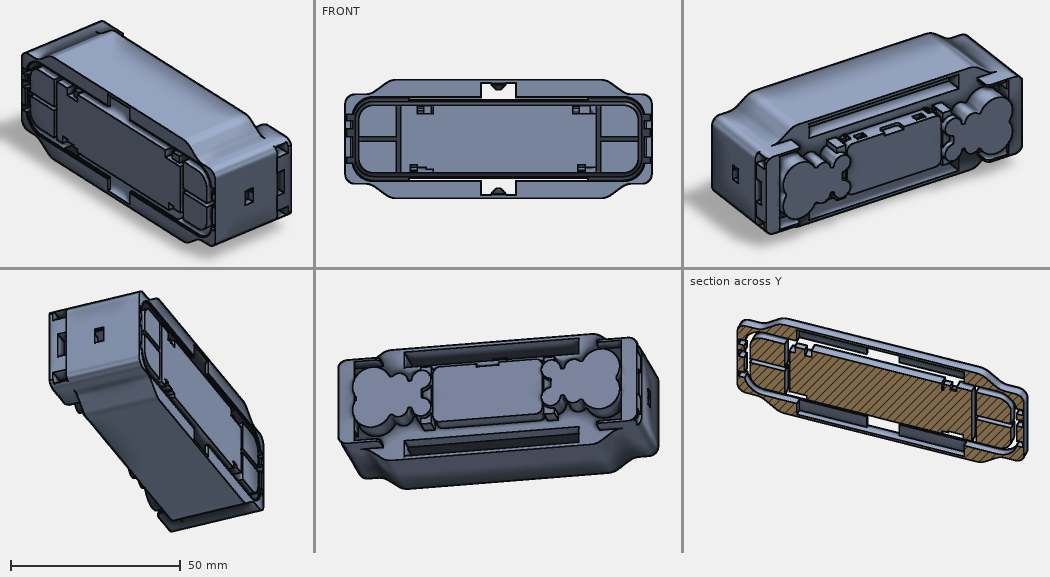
import cadquery as cq
length = 90.5
height = 35.0
end_height = 26.4
shell_depth = 23.5
back_rim = 29.05
total_depth = 31.0
shoulder_top_x = 31.8
shoulder_foot_x = 37.65
shoulder_radius = 5.25
end_corner_radius = 3.0

cavity_length = 85.8
cavity_height = 24.4
cavity_radius = 6.15
lead_in = 0.3
channel_depth = 18.1
core_front_length = 82.4
core_front_height = 19.9
core_front_radius = 4.25
core_flare = 1.1
flare_depth = 0.5
core_base_length = core_front_length + 2 * core_flare
core_base_height = core_front_height + 2 * core_flare
core_base_radius = core_front_radius + core_flare

center_pad_half = 28.8
groove_width = 1.4
groove_depth = 9.05
notch_depth = 4.5
tongue_setback = 1.1
tongue_top_z = 9.9
upper_notch_z = 7.5
ledge_heights = [8.3, 9.1, 9.7]
ledge_step = 0.7
upper_notches = [
    (-24.0, -19.3, -22.0, -19.8, ledge_heights),
    (21.8, center_pad_half, 23.8, 27.1, ledge_heights[1:]),
]
lower_notches = [
    [(-26.0, -23.9, -7.6), (-23.9, -21.3, -8.3), (-21.3, -19.3, -8.9)],
    [(23.35, 25.5, -7.6), (25.5, center_pad_half, -8.3)],
]

slit_length = 52.7
slit_inner_z = 11.6
window_width = 10.2
window_top_z = 16.5
front_plate = 1.0
bump_width = 4.3
bump_tip_width = 1.1
bump_base = 0.41
bump_height = 2.0
bump_start_y = 9.05
bump_depth = 3.6
end_notch_x = 44.7
end_notch_spans = [(5.4, 7.2), (0.7, 3.1), (-7.15, -5.3)]
end_step_x = 43.5
end_step_depth = 0.7
end_window_y = 11.4
end_window_depth = 2.9
end_window_height = 4.7

flange_inset = 0.3
flange_wall = 0.7
flange_hollow_x = 40.3
flange_inner_x = 32.7
flange_chamfer = 0.9
flange_window_z = 9.1
flange_bar_y = 27.9
flange_slot_height = 7.9
flange_slot_end_y = 26.3

lobes = [(34.4, 3.6, 5.9), (26.3, 4.2, 2.7), (19.55, 4.3, 2.9)]
lobe_bridge_z = 3.6
lobe_blend = 0.6

block_half_x = 16.5
block_half_z = 8.7
block_radius = 2.0
wing_inner_x = 17.0
wing_outer_x = 20.2
wing_half_z = 9.0
hook_y = 26.5
hook_arm = 1.0
hook_outer_x = 16.5
hook_leg_x = 14.5
hook_inner_x = 13.7
recess_width = 6.7
recess_floor_y = 26.0
recess_cut = 0.9
pocket_x = 10.3
pocket_y = 25.4
pocket_width = 3.2
pocket_length = 2.3
pocket_cut = 0.5
slot_width = 2.2
slot_length = 1.4
slot_cut = 2.3


def box(x0, x1, y0, y1, z0, z1):
    """Box spanning the given coordinates."""
    return cq.Workplane("XY").box(x1 - x0, y1 - y0, z1 - z0, centered=False).translate((x0, y0, z0))


def rounded_bar(width, tall, radius, y0, y1):
    """Rounded rectangle in XZ, running from y0 to y1."""
    bar = cq.Workplane("XZ", origin=(0, y1, 0)).rect(width, tall).extrude(y1 - y0)
    return bar.edges("|Y").fillet(radius)


def edges_between(low_x, high_x):
    """Selector for edges whose center lies in a range of X."""
    return cq.selectors.BoxSelector((low_x, -0.9, -height), (high_x, total_depth, height))


def make_shell():
    half_x, half_z, end_z = length / 2, height / 2, end_height / 2
    shell = cq.Workplane("XZ", origin=(0, shell_depth, 0)).polyline([
        (-half_x, end_z), (-shoulder_foot_x, end_z), (-shoulder_top_x, half_z),
        (shoulder_top_x, half_z), (shoulder_foot_x, end_z), (half_x, end_z),
        (half_x, -end_z), (shoulder_foot_x, -end_z), (shoulder_top_x, -half_z),
        (-shoulder_top_x, -half_z), (-shoulder_foot_x, -end_z), (-half_x, -end_z),
    ]).close().extrude(shell_depth)
    near_end = (shoulder_foot_x + half_x) / 2
    for side in (-1, 1):
        shoulders = edges_between(*sorted((0, side * near_end)))
        shell = shell.edges("|Y").edges(shoulders).fillet(shoulder_radius)
        corners = edges_between(*sorted((side * near_end, side * length)))
        shell = shell.edges("|Y").edges(corners).fillet(end_corner_radius)
    return shell


def cut_channel(shell):
    shell = shell.cut(rounded_bar(cavity_length, cavity_height, cavity_radius, 0, channel_depth))
    mouth = rounded_bar(cavity_length + 2 * lead_in, cavity_height + 2 * lead_in,
                        cavity_radius + lead_in, 0, 2 * lead_in)
    shell = shell.cut(mouth.faces(">Y").chamfer(lead_in))
    step_span = (end_notch_spans[-1][0], end_notch_spans[0][1])
    for side in (-1, 1):
        for z0, z1 in end_notch_spans:
            shell = shell.cut(box(*sorted((0, side * end_notch_x)), 0, channel_depth, z0, z1))
        step = box(*sorted((0, side * end_step_x)), 0, end_step_depth, *step_span)
        shell = shell.cut(step)
    return shell


def make_core():
    pad_run = channel_depth - flare_depth
    pads = rounded_bar(core_front_length, core_front_height, core_front_radius, 0, pad_run)
    slim = cq.Sketch().rect(core_front_length, core_front_height).vertices().fillet(core_front_radius)
    wide = cq.Sketch().rect(core_base_length, core_base_height).vertices().fillet(core_base_radius)
    flare = cq.Workplane("XZ", origin=(0, channel_depth, 0)).placeSketch(
        wide, slim.moved(cq.Location(cq.Vector(0, 0, flare_depth)))).loft(ruled=True)
    core = pads.union(flare)
    for side in (-1, 1):
        pad_edge = center_pad_half + groove_width
        upright = sorted((side * center_pad_half, side * pad_edge))
        core = core.cut(box(*upright, 0, groove_depth, -height / 2, height / 2))
        level = sorted((side * pad_edge, side * length / 2))
        core = core.cut(box(*level, 0, groove_depth, -groove_width / 2, groove_width / 2))
    return core


def make_ledges(x0, x1, floor_z, tops):
    """Staircase rising from floor_z at the back of a notch, the highest ledge deepest."""
    stairs = cq.Workplane("XY")
    for rank, top_z in enumerate(tops):
        front_y = notch_depth - (len(tops) - rank) * ledge_step
        stairs = stairs.union(box(x0, x1, front_y, notch_depth, floor_z, top_z))
    return stairs


def cut_latch_notches(core):
    far_z = core_base_height / 2
    for x0, x1, tongue0, tongue1, ledges in upper_notches:
        core = core.cut(box(x0, x1, 0, notch_depth, upper_notch_z, far_z))
        core = core.union(box(tongue0, tongue1, tongue_setback, notch_depth, upper_notch_z, tongue_top_z))
        core = core.union(make_ledges(x0, tongue0, upper_notch_z, ledges))
    for steps in lower_notches:
        for x0, x1, step_z in steps:
            core = core.cut(box(x0, x1, 0, notch_depth, -far_z, step_z))
        x0, x1, step_z = steps[0]
        core = core.union(make_ledges(x0, x1, -step_z, ledge_heights).mirror("XY"))
    return core


def cut_through_openings(body):
    half_slit, half_window = slit_length / 2, window_width / 2
    cavity_z = cavity_height / 2
    for side in (-1, 1):
        slit = sorted((side * slit_inner_z, side * cavity_z))
        window = sorted((side * slit_inner_z, side * window_top_z))
        end = sorted((side * cavity_length / 2, side * length / 2))
        body = body.cut(box(-half_slit, half_slit, 0, shell_depth, *slit))
        body = body.cut(box(-half_window, half_window, 0, shell_depth, *window))
        hollow = sorted((side * cavity_z, side * window_top_z))
        body = body.cut(box(-half_slit, half_slit, front_plate, shell_depth, *hollow))
        body = body.cut(box(*end, end_window_y, end_window_y + end_window_depth,
                            -end_window_height / 2, end_window_height / 2))
    return body


def make_bump():
    """Ramped snap bump hanging from the roof of the upper window."""
    base_z = window_top_z - bump_base
    tip_z = window_top_z - bump_height
    face = cq.Workplane("XZ", origin=(0, bump_start_y + bump_depth, 0)).polyline([
        (-bump_width / 2, window_top_z), (bump_width / 2, window_top_z), (bump_width / 2, base_z),
        (bump_tip_width / 2, tip_z), (-bump_tip_width / 2, tip_z), (-bump_width / 2, base_z),
    ]).close().extrude(bump_depth)
    ramp = cq.Workplane("YZ", origin=(-bump_width / 2, 0, 0)).polyline([
        (bump_start_y, window_top_z), (bump_start_y, base_z),
        (bump_start_y + bump_depth, tip_z), (bump_start_y + bump_depth, window_top_z),
    ]).close().extrude(bump_width)
    return face.intersect(ramp)


def make_flanges():
    inner_z = end_height / 2 - flange_wall
    end_x = length / 2 - flange_inset
    flange = rounded_bar(length, end_height, end_corner_radius, shell_depth, back_rim)
    flange = flange.intersect(box(-end_x, end_x, shell_depth, back_rim, -end_height / 2, end_height / 2))
    flange = flange.cut(box(-flange_hollow_x, flange_hollow_x, shell_depth, back_rim, -inner_z, inner_z))
    gap = box(-flange_inner_x, flange_inner_x, shell_depth, back_rim, -height / 2, height / 2)
    flange = flange.cut(gap)
    tips = edges_between(-flange_inner_x - flange_wall, flange_inner_x + flange_wall)
    flange = flange.edges("|Z and >Y").edges(tips).chamfer(flange_chamfer)
    half_x, slot_z = length / 2, flange_slot_height / 2
    for side in (-1, 1):
        opening = sorted((side * flange_window_z, side * inner_z))
        flange = flange.cut(box(-half_x, half_x, shell_depth, flange_bar_y, *opening))
    return flange.cut(box(-half_x, half_x, shell_depth, flange_slot_end_y, -slot_z, slot_z))


def make_lobes(side):
    """Bundle of round conduits, mirrored about Z = 0 and joined by a web."""
    run = total_depth - shell_depth
    web_ends = sorted((side * lobes[0][0], side * lobes[-1][0]))
    bundle = box(*web_ends, shell_depth, total_depth, -lobe_bridge_z, lobe_bridge_z)
    for x, z, radius in lobes:
        points = [(side * x, z), (side * x, -z)]
        pair = cq.Workplane("XZ", origin=(0, total_depth, 0)).pushPoints(points).circle(radius).extrude(run)
        bundle = bundle.union(pair)
    outline = bundle.faces(">Y").wires().val()
    swollen = outline.offset2D(lobe_blend)[0]
    blended = swollen.offset2D(-lobe_blend)[0]
    return cq.Workplane(cq.Solid.extrudeLinear(blended, [], cq.Vector(0, -run, 0)))


def make_center_block():
    block = rounded_bar(2 * block_half_x, 2 * block_half_z, block_radius, shell_depth, back_rim)
    recess = box(-recess_width / 2, recess_width / 2, recess_floor_y, back_rim,
                 block_half_z - recess_cut, block_half_z)
    block = block.cut(recess.edges("|Z and <Y").fillet(recess_cut))
    for side in (-1, 1):
        x = side * pocket_x
        block = block.cut(box(x - pocket_width / 2, x + pocket_width / 2, pocket_y, pocket_y + pocket_length,
                              block_half_z - pocket_cut, block_half_z))
        slot = cq.Workplane("YZ", origin=(x - slot_width / 2, 0, 0)).polyline([
            (pocket_y, block_half_z), (pocket_y, block_half_z - slot_cut),
            (pocket_y + slot_length, block_half_z)]).close().extrude(slot_width)
        block = block.cut(slot)
        wing = sorted((side * wing_inner_x, side * wing_outer_x))
        block = block.union(box(*wing, shell_depth, back_rim, -wing_half_z, wing_half_z))
        leg = sorted((side * hook_inner_x, side * hook_leg_x))
        arm = sorted((side * hook_leg_x, side * hook_outer_x))
        hook_base = block_half_z - block_radius
        block = block.union(box(*leg, shell_depth, hook_y, hook_base, wing_half_z))
        block = block.union(box(*arm, hook_y - hook_arm, hook_y, hook_base, wing_half_z))
    return block


body = cut_channel(make_shell()).union(cut_latch_notches(make_core()))
body = cut_through_openings(body)
bump = make_bump()
body = body.union(bump).union(bump.mirror("XY"))
body = body.union(make_flanges()).union(make_center_block())
for end_side in (-1, 1):
    body = body.union(make_lobes(end_side))
result = body